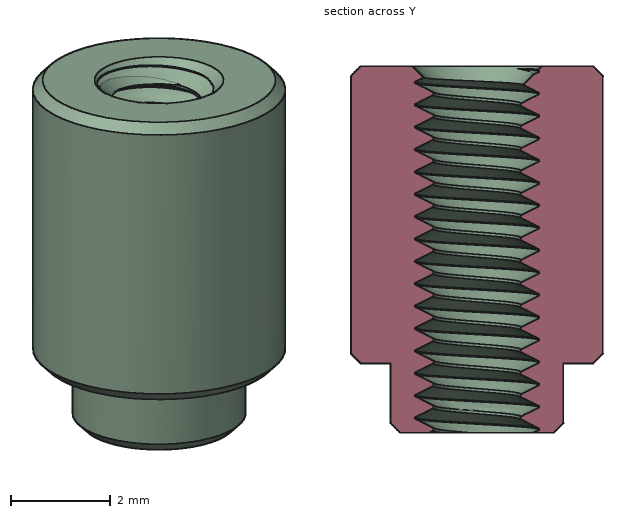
import cadquery as cq
import math

total_height = 7.4
body_radius = 5.1 / 2
spigot_radius = 3.5 / 2
spigot_height = 1.4
edge_chamfer = 0.2

minor_radius = 0.88
major_radius = 1.25
pitch = 0.45
crest_width = 0.06
root_width = 0.02
countersink_radius = 1.3
inner_overlap = 0.04
start_angle = 120.0


def make_body():
    """Stepped cylinder standing on its narrow spigot, with bevelled outer edges."""
    spigot = cq.Workplane("XY").circle(spigot_radius).extrude(spigot_height)
    spigot = spigot.faces("<Z").chamfer(edge_chamfer)
    barrel = (
        cq.Workplane("XY", origin=(0, 0, spigot_height))
        .circle(body_radius)
        .extrude(total_height - spigot_height)
        .faces("<Z or >Z")
        .chamfer(edge_chamfer)
    )
    return spigot.union(barrel)


def make_bore():
    """Through bore at the minor diameter with a 45 degree countersink on top."""
    countersink_depth = countersink_radius - minor_radius
    return (
        cq.Workplane("XZ")
        .lineTo(minor_radius, 0)
        .lineTo(minor_radius, total_height - countersink_depth)
        .lineTo(countersink_radius, total_height)
        .lineTo(0, total_height)
        .close()
        .revolve(360, (0, 0, 0), (0, 1, 0))
    )


def make_thread_groove():
    """Right-hand V groove that runs out past both ends of the part."""
    turns = math.ceil(total_height / pitch) + 2
    inner_radius = minor_radius - inner_overlap
    half_mouth = (pitch - crest_width) / 2
    half_root = root_width / 2
    helix = cq.Wire.makeHelix(pitch, turns * pitch, minor_radius)
    groove = (
        cq.Workplane("XZ")
        .moveTo(inner_radius, -half_mouth)
        .lineTo(minor_radius, -half_mouth)
        .lineTo(major_radius, -half_root)
        .lineTo(major_radius, half_root)
        .lineTo(minor_radius, half_mouth)
        .lineTo(inner_radius, half_mouth)
        .close()
        .sweep(cq.Workplane(obj=helix), isFrenet=True)
    )
    return groove.rotate((0, 0, 0), (0, 0, 1), start_angle).translate((0, 0, -pitch))


result = make_body().cut(make_thread_groove()).cut(make_bore())